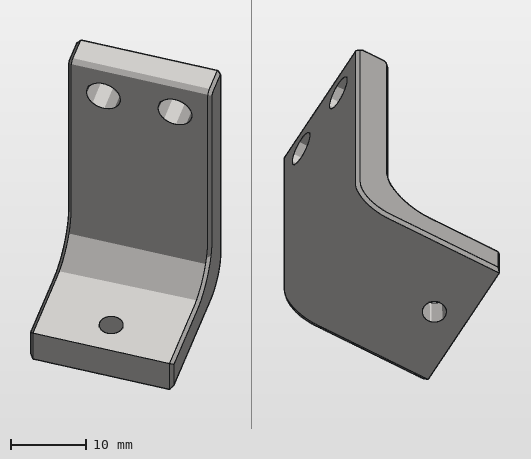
import cadquery as cq

width = 20.0
depth = 22.1
height = 39.92

thickness = 5.0
inner_radius = 6.2
outer_radius = 5.0
top_radius = 1.0
edge_chamfer = 0.48

wall_hole_diameter = 4.7
wall_hole_spacing = 9.98
wall_hole_drop = 5.0
foot_hole_diameter = 3.2
foot_hole_setback = 4.5

wall_front = depth - thickness


def bent_plate():
    """L-shaped plate centred on X, with a rounded bend and a rounded top."""
    plate = (
        cq.Workplane("YZ")
        .polyline([
            (0, 0),
            (depth, 0),
            (depth, height),
            (wall_front, height),
            (wall_front, thickness),
            (0, thickness),
        ])
        .close()
        .extrude(width / 2, both=True)
    )
    inner_bend = cq.selectors.NearestToPointSelector((0, wall_front, thickness))
    outer_bend = cq.selectors.NearestToPointSelector((0, depth, 0))
    plate = plate.edges("|X").edges(inner_bend).fillet(inner_radius)
    plate = plate.edges("|X").edges(outer_bend).fillet(outer_radius)
    plate = plate.faces(">Z").edges("|X").fillet(top_radius)
    return plate.faces("<X or >X").chamfer(edge_chamfer)


def wall_holes():
    """Pair of cutters running along Y through the upper wall."""
    return (
        cq.Workplane("XZ")
        .pushPoints([(side * wall_hole_spacing / 2, height - wall_hole_drop) for side in (-1, 1)])
        .circle(wall_hole_diameter / 2)
        .extrude(-depth)
    )


def foot_hole():
    """Cutter running along Z through the foot."""
    return (
        cq.Workplane("XY")
        .center(0, foot_hole_setback)
        .circle(foot_hole_diameter / 2)
        .extrude(thickness)
    )


result = bent_plate().cut(wall_holes()).cut(foot_hole())